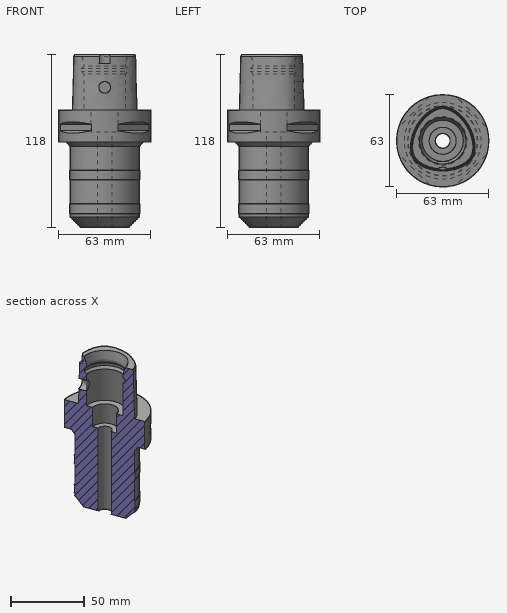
import cadquery as cq
import math

total_height = 118.0

flange_radius = 31.5
flange_top = 80.0
flange_bottom = 58.0
flange_cone_radius = 26.2
flange_cone_bottom = 55.0

body_radius = 23.6
band_rise = 0.4
band_centers = (35.6, 12.6)
band_height = 7.0
end_chamfer = 7.1

shank_base_radius = 22.1
shank_lobe = 1.4
shank_taper = 1 / 40
rim_chamfer_height = 1.5
rim_chamfer_width = 0.6

bore_mouth_radius = 15.9
bore_radius = 14.0
bore_cone_depth = 6.3
bore_depth = total_height - flange_top
groove_radius = 15.8
groove_start_depth = 8.0
groove_end_depth = 13.6
counterbore_radius = 9.2
counterbore_depth = 53.1
coolant_radius = 5.0

notch_radius = 5.0
notch_center_y = -22.9
notch_depth = 6.1
hole_radius = 4.0
hole_z = 95.5
hole_bottom_y = -14.3

slot_count = 4
slot_z = 68.1
slot_floor_distance = 27.7
slot_floor_width = 4.2
slot_mouth_width = 7.8


def make_body():
    """Flange, cone, banded cylinder and chamfered end as one revolved profile."""
    profile = (
        cq.Workplane("XZ")
        .moveTo(0, flange_top)
        .lineTo(flange_radius, flange_top)
        .lineTo(flange_radius, flange_bottom)
        .lineTo(flange_cone_radius, flange_bottom)
        .lineTo(body_radius, flange_cone_bottom)
    )
    for center in band_centers:
        band_top = center + band_height / 2
        band_bottom = center - band_height / 2
        band_radius = body_radius + band_rise
        profile = (
            profile.lineTo(body_radius, band_top)
            .lineTo(band_radius, band_top - band_rise)
            .lineTo(band_radius, band_bottom + band_rise)
            .lineTo(body_radius, band_bottom)
        )
    return (
        profile.lineTo(body_radius, end_chamfer)
        .lineTo(body_radius - end_chamfer, 0)
        .lineTo(0, 0)
        .close()
        .revolve(360, (0, 0, 0), (0, 1, 0))
    )


def polygon_wire(mean_radius, z):
    """Smooth three-lobed curve whose tangents lie mean_radius - lobe * cos(3t) from the axis."""

    def point(t):
        angle = 2 * math.pi * t
        along = mean_radius * math.cos(angle) - 2 * shank_lobe * math.cos(2 * angle)
        along += shank_lobe * math.cos(4 * angle)
        across = mean_radius * math.sin(angle) + 2 * shank_lobe * math.sin(2 * angle)
        across += shank_lobe * math.sin(4 * angle)
        return (across, -along, z)

    curve_points = 72
    points = [cq.Vector(*point(i / curve_points)) for i in range(curve_points)]
    return cq.Wire.assembleEdges([cq.Edge.makeSpline(points, periodic=True)])


def make_shank():
    """Tapered polygon shank with a chamfered rim."""
    rim_z = total_height - rim_chamfer_height
    rim_radius = shank_base_radius - shank_taper * (rim_z - flange_top)
    base = polygon_wire(shank_base_radius, flange_top)
    rim = polygon_wire(rim_radius, rim_z)
    end = polygon_wire(rim_radius - rim_chamfer_width, total_height)
    taper = cq.Solid.makeLoft([base, rim], True)
    chamfer = cq.Solid.makeLoft([rim, end], True)
    return cq.Workplane(taper).union(cq.Workplane(chamfer))


def make_bore():
    """Conical mouth, bore with a clamping groove, counterbore and through passage."""
    groove_flank = groove_radius - bore_radius
    steps = (
        (bore_mouth_radius, 0),
        (bore_radius, bore_cone_depth),
        (bore_radius, groove_start_depth),
        (groove_radius, groove_start_depth + groove_flank),
        (groove_radius, groove_end_depth - groove_flank),
        (bore_radius, groove_end_depth),
        (bore_radius, bore_depth),
        (counterbore_radius, bore_depth),
        (counterbore_radius, counterbore_depth),
        (coolant_radius, counterbore_depth),
        (coolant_radius, total_height),
        (0, total_height),
    )
    profile = cq.Workplane("XZ").moveTo(0, total_height)
    for radius, depth in steps:
        profile = profile.lineTo(radius, total_height - depth)
    return profile.close().revolve(360, (0, 0, 0), (0, 1, 0))


def make_notch():
    return (
        cq.Workplane("XY", origin=(0, notch_center_y, total_height - notch_depth))
        .circle(notch_radius)
        .extrude(notch_depth)
    )


def make_blind_hole():
    return (
        cq.Workplane("XZ", origin=(0, hole_bottom_y, hole_z))
        .circle(hole_radius)
        .extrude(flange_radius + hole_bottom_y)
    )


def make_slot(angle):
    """Trapezoidal slot cut along a chord of the flange, facing the given angle."""
    return (
        cq.Workplane("XZ", origin=(0, 0, slot_z))
        .moveTo(slot_floor_distance, -slot_floor_width / 2)
        .lineTo(flange_radius, -slot_mouth_width / 2)
        .lineTo(flange_radius, slot_mouth_width / 2)
        .lineTo(slot_floor_distance, slot_floor_width / 2)
        .close()
        .extrude(flange_radius, both=True)
        .rotate((0, 0, 0), (0, 0, 1), angle)
    )


result = make_body().union(make_shank())
result = result.cut(make_bore()).cut(make_notch()).cut(make_blind_hole())
for index in range(slot_count):
    result = result.cut(make_slot(45 + index * 360 / slot_count))